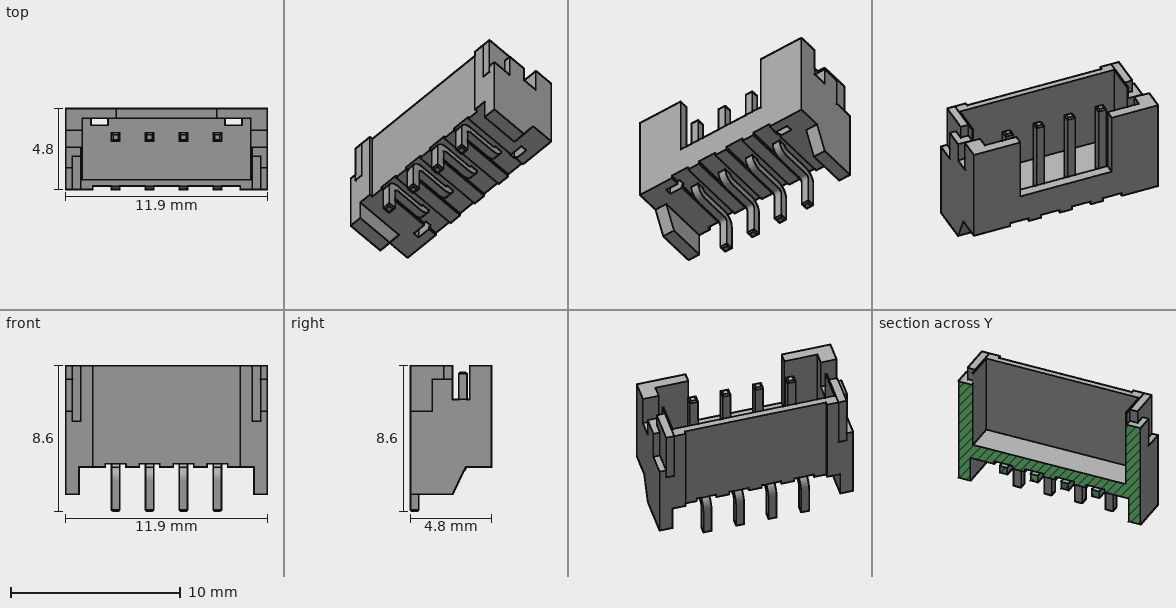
import cadquery as cq
import math


width = 11.9
depth = 4.8
total_height = 8.6
housing_height = 6.0

side_wall = 0.98
end_wall = 0.6
floor_thickness = 1.0
front_recess_depth = 0.2
front_recess_margin = 1.61
back_notch_width = 5.9
back_notch_depth = 4.0
side_slot_width = 1.0
side_slot_depth = 2.0
shoulder_length = 2.5
window_length = 1.0
window_width = 0.4
window_inset = 0.52

leg_thickness = 0.8
leg_drop = 1.61
leg_heel = 3.26

plate_inset = 0.4
plate_thickness = 0.5
plate_length = 1.98
plate_height = 3.3
upper_step_drop = 0.8
lower_step_drop = 2.7
lower_step_length = 1.3

pin_count = 4
pin_pitch = 2.0
pin_size = 0.5
pin_y = 3.09
pin_top_gap = 0.4
pin_tip_chamfer = 0.1
inner_bend_radius = 0.25
groove_width = 1.2
groove_depth = 0.2

outer_bend_radius = inner_bend_radius + pin_size
cavity_width = width - 2 * side_wall
cavity_depth = depth - 2 * end_wall
cavity_height = housing_height - floor_thickness
leg_bottom = -leg_drop
pin_bottom = housing_height - total_height
pin_top = housing_height - pin_top_gap
pin_positions = [(i - (pin_count - 1) / 2) * pin_pitch for i in range(pin_count)]


def block(x_start, y_start, z_start, x_size, y_size, z_size):
    """Box placed by its lowest corner."""
    shape = cq.Workplane("XY").box(x_size, y_size, z_size, centered=False)
    return shape.translate((x_start, y_start, z_start))


def mirrored_pair(left):
    """A left-hand shape together with its mirror image across the YZ plane."""
    return [left, left.mirror("YZ")]


def make_pin(x):
    """Square pin: upright contact, bend towards the front, bend down into the tail."""
    upright_back = pin_y + pin_size / 2
    upright_front = pin_y - pin_size / 2
    bend_diagonal = math.sqrt(0.5)
    inner_arc = inner_bend_radius * bend_diagonal
    outer_arc = outer_bend_radius * bend_diagonal
    upper_y = upright_front - inner_bend_radius
    upper_z = inner_bend_radius
    lower_y = outer_bend_radius
    lower_z = -outer_bend_radius

    profile = (
        cq.Workplane("YZ")
        .moveTo(upright_back, pin_top)
        .lineTo(upright_back, upper_z)
        .threePointArc((upper_y + outer_arc, upper_z - outer_arc), (upper_y, -pin_size))
        .lineTo(lower_y, -pin_size)
        .threePointArc((lower_y - inner_arc, lower_z + inner_arc), (pin_size, lower_z))
        .lineTo(pin_size, pin_bottom)
        .lineTo(0, pin_bottom)
        .lineTo(0, lower_z)
        .threePointArc((lower_y - outer_arc, lower_z + outer_arc), (lower_y, 0))
        .lineTo(upper_y, 0)
        .threePointArc((upper_y + inner_arc, upper_z - inner_arc), (upright_front, upper_z))
        .lineTo(upright_front, pin_top)
        .close()
    )
    pin = profile.extrude(pin_size / 2, both=True)
    pin = pin.faces("<Z or >Z").chamfer(pin_tip_chamfer)
    return pin.translate((x, 0, 0))


def make_left_plate():
    """Flat locking plate set upright in the left end of the housing."""
    return block(
        -width / 2 + plate_inset, 0, housing_height - plate_height,
        plate_thickness, plate_length, plate_height,
    )


def make_left_leg():
    """Foot plate below the left end, with a sloping rear edge."""
    return (
        cq.Workplane("YZ", origin=(-width / 2, 0, 0))
        .polyline([(0, 0), (0, leg_bottom), (shoulder_length, leg_bottom), (leg_heel, 0)])
        .close()
        .extrude(leg_thickness)
    )


def left_end_cuts():
    """Steps, side slot and floor window at the left end of the housing."""
    left = -width / 2
    upper_step = block(
        left, 0, housing_height - upper_step_drop,
        plate_inset + plate_thickness, shoulder_length, upper_step_drop,
    )
    lower_step = block(
        left, 0, housing_height - lower_step_drop,
        plate_inset, lower_step_length, lower_step_drop,
    )
    side_slot = block(
        left, shoulder_length, housing_height - side_slot_depth,
        side_wall, side_slot_width, side_slot_depth,
    )
    floor_window = block(
        left + side_wall + window_inset, depth - end_wall - window_width, 0,
        window_length, window_width, floor_thickness,
    )
    return [upper_step, lower_step, side_slot, floor_window]


def make_housing(fitted_bodies):
    """Open-topped shroud on two legs, with matching seats for the fitted bodies."""
    housing = block(-width / 2, 0, 0, width, depth, housing_height)
    for leg in mirrored_pair(make_left_leg()):
        housing = housing.union(leg)

    housing = housing.cut(
        block(-cavity_width / 2, end_wall, floor_thickness, cavity_width, cavity_depth, cavity_height)
    )
    recess_width = width - 2 * front_recess_margin
    housing = housing.cut(
        block(-recess_width / 2, 0, 0, recess_width, front_recess_depth, housing_height)
    )
    housing = housing.cut(
        block(
            -back_notch_width / 2, depth - end_wall, housing_height - back_notch_depth,
            back_notch_width, end_wall, back_notch_depth,
        )
    )
    for x in pin_positions:
        housing = housing.cut(block(x - groove_width / 2, 0, 0, groove_width, depth, groove_depth))

    for left_cut in left_end_cuts():
        for end_cut in mirrored_pair(left_cut):
            housing = housing.cut(end_cut)

    for body in fitted_bodies:
        housing = housing.cut(body)
    return housing


pins = [make_pin(x) for x in pin_positions]
locking_plates = mirrored_pair(make_left_plate())
housing = make_housing(pins + locking_plates)

result = cq.Compound.makeCompound(
    [housing.solids().val()] + [pin.val() for pin in pins] + [plate.val() for plate in locking_plates]
)